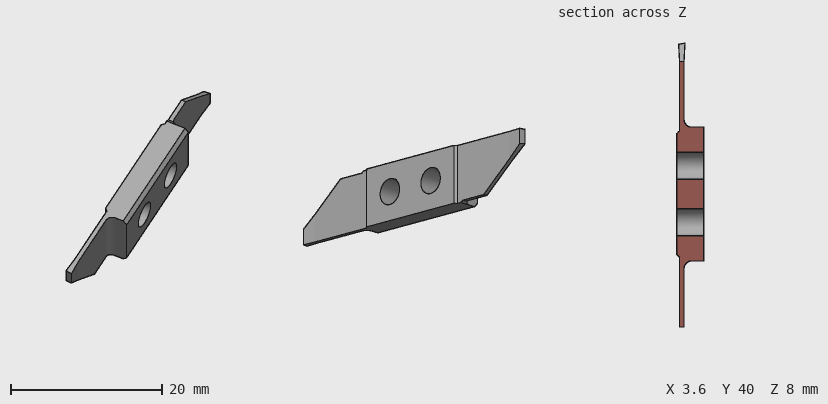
import cadquery as cq
import math

length = 40.0
thickness = 3.6
height = 8.0

body_length = 17.75
seat_length = 16.0
back_chamfer = 0.5
hole_diameter = 3.55
hole_spacing = 7.5

blade_thickness = 0.65
blade_setback = 0.35
root_radius = 0.95
tip_length = 2.25
tip_flare = 0.1
tip_skew = 0.15

edge_drop = 0.25
edge_ramp_length = 0.45
slant_start = 13.1
slant_angle = 40.0

half_length = length / 2
half_height = height / 2
half_body = body_length / 2
half_seat = seat_length / 2
blade_back = blade_setback + blade_thickness
tip_start = half_length - tip_length


def make_half_plan():
    """Plan outline on the +Y side, extruded to full height."""
    fillet_mid_x = blade_back + root_radius * (1 - math.sqrt(0.5))
    fillet_mid_y = half_body + root_radius * (1 - math.sqrt(0.5))
    return (
        cq.Workplane("XY", origin=(0, 0, -half_height))
        .lineTo(thickness, 0)
        .lineTo(thickness, half_body)
        .lineTo(blade_back + root_radius, half_body)
        .threePointArc((fillet_mid_x, fillet_mid_y), (blade_back, half_body + root_radius))
        .lineTo(blade_back, tip_start)
        .lineTo(blade_back + tip_flare, half_length)
        .lineTo(blade_setback - tip_flare, half_length - tip_skew)
        .lineTo(blade_setback, tip_start)
        .lineTo(blade_setback, half_seat + blade_setback)
        .lineTo(0, half_seat)
        .close()
        .extrude(height)
    )


def make_edge_cutter():
    """Material above the relieved and slanted upper edge of the +Y blade."""
    edge_z = half_height - edge_drop
    slant_end_z = edge_z - (half_length - slant_start) * math.tan(math.radians(slant_angle))
    return (
        cq.Workplane("YZ")
        .moveTo(half_body, half_height)
        .lineTo(half_body + edge_ramp_length, edge_z)
        .lineTo(slant_start, edge_z)
        .lineTo(half_length, slant_end_z)
        .lineTo(half_length, half_height)
        .close()
        .extrude(thickness)
    )


def make_body_holes():
    """Two through holes along X on the body centreline."""
    return (
        cq.Workplane("YZ")
        .pushPoints([(-hole_spacing / 2, 0), (hole_spacing / 2, 0)])
        .circle(hole_diameter / 2)
        .extrude(thickness)
    )


half = make_half_plan().cut(make_edge_cutter())
whole = half.union(half.rotate((0, 0, 0), (1, 0, 0), 180)).clean()
chamfered = whole.faces(">X").edges("|Y").chamfer(back_chamfer)
result = chamfered.cut(make_body_holes())